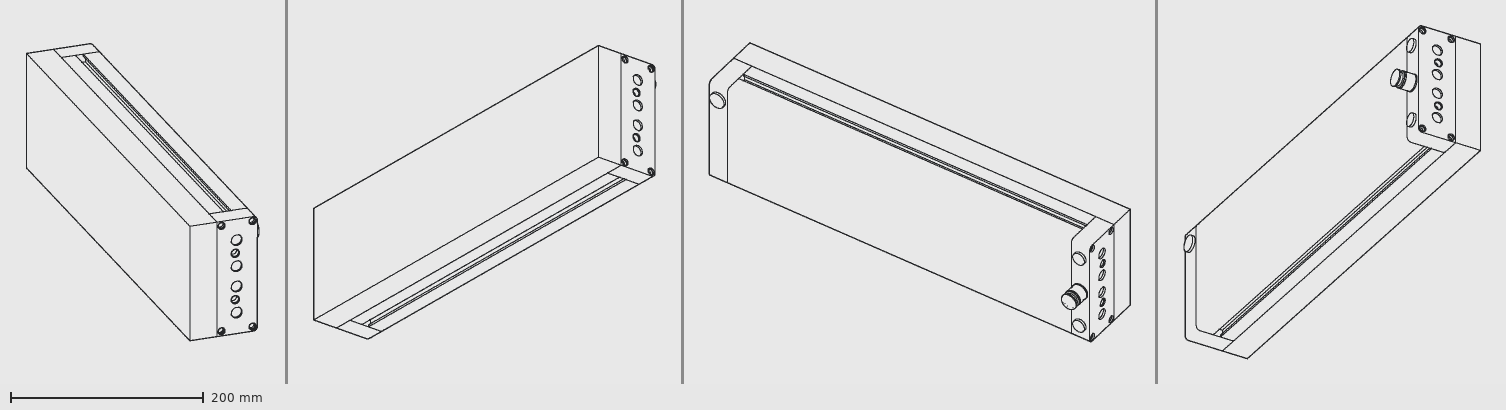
import cadquery as cq

length = 478.0
height = 130.0
foam_depth = 30.0
body_depth = 75.0
overall_depth = 96.0
housing_depth = body_depth - foam_depth
back_round = 5.0

cap_width = 23.0
half_length = length / 2
cap_centre = half_length - cap_width / 2

slot_width = 8.5
slot_depth = 9.0
slot_lip = 2.5
slot_inner_width = 13.5
slot_y = 50.0

screw_hole_diameter = 7.5
screw_socket_diameter = 6.0
screw_head_depth = 2.0
screw_hole_depth = 5.0
screw_edge_margin = 5.3

port_y = 52.0
port_diameter = 12.0
port_depth = 2.5
port_heights = (11.5, 41.0)

mount_y = 50.5
mount_diameter = 9.0
mount_bore_diameter = 7.5
mount_step_depth = 1.5
mount_bore_depth = 7.0
mount_z = 26.5

plug_z = 45.5
plug_height = 3.0
small_plug_diameter = 15.0
large_plug_diameter = 18.0

connector_x = -227.0
connector_diameter = 18.5
collar_diameter = 19.0
collar_height = 1.5
barrel_top = 88.0
groove_diameter = 17.5
groove_height = 2.0
neck_diameter = 15.0
neck_chamfer_height = 1.0
flange_height = 1.5


def housing_block(block_length, centre_x):
    """Block behind the foam with its two long back edges rounded."""
    return (
        cq.Workplane("XY")
        .box(block_length, housing_depth, height)
        .edges("|X and >Y")
        .fillet(back_round)
        .translate((centre_x, foam_depth + housing_depth / 2, 0))
    )


def make_foam_pad():
    """Plain rectangular slab covering the whole front."""
    return (
        cq.Workplane("XY")
        .box(length, foam_depth, height)
        .translate((0, foam_depth / 2, 0))
    )


def make_profile():
    """Housing between the end caps, with a T-slot running along its top and bottom."""
    profile_length = length - 2 * cap_width
    profile = housing_block(profile_length, 0)
    inner_depth = slot_depth - slot_lip
    for side in (-1, 1):
        opening = cq.Workplane("XY").box(profile_length, slot_width, slot_depth)
        inner = cq.Workplane("XY").box(profile_length, slot_inner_width, inner_depth)
        profile = profile.cut(opening.translate((0, slot_y, side * (height - slot_depth) / 2)))
        inner_z = side * (height / 2 - slot_lip - inner_depth / 2)
        profile = profile.cut(inner.translate((0, slot_y, inner_z)))
    return profile


def end_hole(side, y, z, diameter, depth):
    """Blind round hole cut inward from the outer face of the cap on the given side."""
    start = cq.Vector(side * half_length, y, z)
    return cq.Workplane(obj=cq.Solid.makeCylinder(diameter / 2, depth, start, cq.Vector(-side, 0, 0)))


def make_end_cap(side):
    """End cap with its screw holes, ports and stepped holes; side is -1 for left, 1 for right."""
    cap = housing_block(cap_width, side * cap_centre)
    for z_sign in (-1, 1):
        screw_z = z_sign * (height / 2 - screw_edge_margin)
        for y in (foam_depth + screw_edge_margin, body_depth - screw_edge_margin):
            cap = cap.cut(end_hole(side, y, screw_z, screw_hole_diameter, screw_head_depth))
            cap = cap.cut(end_hole(side, y, screw_z, screw_socket_diameter, screw_hole_depth))
        for z in port_heights:
            cap = cap.cut(end_hole(side, port_y, z_sign * z, port_diameter, port_depth))
        cap = cap.cut(end_hole(side, mount_y, z_sign * mount_z, mount_diameter, mount_step_depth))
        cap = cap.cut(end_hole(side, mount_y, z_sign * mount_z, mount_bore_diameter, mount_bore_depth))
    return cap


def back_plug(x, z, diameter):
    """Low round plug standing on the back face."""
    base = cq.Vector(x, body_depth, z)
    return cq.Workplane(obj=cq.Solid.makeCylinder(diameter / 2, plug_height, base, cq.Vector(0, 1, 0)))


def hose_connector():
    """Push-in hose connector, revolved about its axis along Y."""
    connector_radius = connector_diameter / 2
    collar_radius = collar_diameter / 2
    groove_radius = groove_diameter / 2
    neck_radius = neck_diameter / 2
    collar_top = body_depth + collar_height
    groove_top = barrel_top + groove_height
    chamfer_top = groove_top + neck_chamfer_height
    flange_bottom = overall_depth - flange_height
    outline = (
        cq.Workplane("YZ")
        .moveTo(body_depth, 0)
        .lineTo(body_depth, collar_radius)
        .lineTo(collar_top, collar_radius)
        .lineTo(collar_top, connector_radius)
        .lineTo(barrel_top, connector_radius)
        .lineTo(barrel_top, groove_radius)
        .lineTo(groove_top, groove_radius)
        .lineTo(groove_top, connector_radius)
        .lineTo(chamfer_top, neck_radius)
        .lineTo(flange_bottom, neck_radius)
        .lineTo(flange_bottom, connector_radius)
        .lineTo(overall_depth, connector_radius)
        .lineTo(overall_depth, 0)
        .close()
    )
    return outline.revolve(360, (0, 0), (1, 0)).translate((connector_x, 0, 0))


def make_left_cap():
    """Left end cap carrying the hose connector and two small plugs."""
    cap = make_end_cap(-1).union(hose_connector())
    for z in (-plug_z, plug_z):
        cap = cap.union(back_plug(connector_x, z, small_plug_diameter))
    return cap


def make_right_cap():
    """Right end cap carrying one large plug."""
    return make_end_cap(1).union(back_plug(cap_centre, plug_z, large_plug_diameter))


foam_pad = make_foam_pad()
profile = make_profile()
left_cap = make_left_cap()
right_cap = make_right_cap()

result = cq.Compound.makeCompound([foam_pad.val(), profile.val(), left_cap.val(), right_cap.val()])